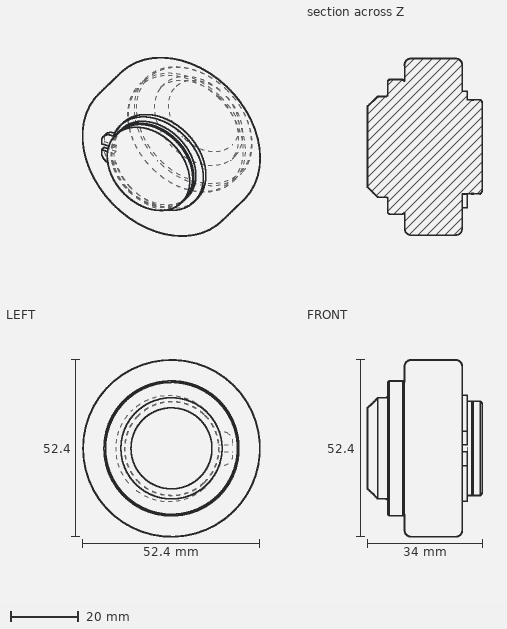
import cadquery as cq
import math

cone_end = 3.1
flange_start = 6.0
roller_start = 10.95
roller_end = 28.1
ring_end = 29.6
groove_start = 30.85
groove_end = 31.3
total_length = 34.0

nose_tip_radius = 12.0
nose_radius = 30.0 / 2
flange_radius = 40.0 / 2
roller_radius = 52.4 / 2
shaft_radius = 28.0 / 2

nose_root_fillet = 0.45
flange_chamfer = 0.45
roller_fillet = 2.0
groove_depth = 0.15
shaft_rounding_length = 0.7
shaft_rounding_depth = 1.05
shaft_rounding_radius = 1.15

ring_radius = 15.7
ring_offset = 0.85
lug_tip = 18.05
lug_half_width = 5.1
lug_flat_half_width = 2.5
lug_shoulder = 14.8
lug_corner_radius = 3.35
ring_gap = 2.1

diagonal = math.sqrt(0.5)


def revolve_about_x(profile):
    return profile.close().revolve(360, (0, 0, 0), (1, 0, 0))


def make_nose():
    """Conical nose that flares into the flange through a small root fillet."""
    root_arc_mid = (
        flange_start - nose_root_fillet * (1 - diagonal),
        nose_radius + nose_root_fillet * (1 - diagonal),
    )
    profile = (
        cq.Workplane("XY")
        .lineTo(0, nose_tip_radius)
        .lineTo(cone_end, nose_radius)
        .lineTo(flange_start - nose_root_fillet, nose_radius)
        .threePointArc(root_arc_mid, (flange_start, nose_radius + nose_root_fillet))
        .lineTo(flange_start, 0)
    )
    return revolve_about_x(profile)


def make_disc(start, end, radius):
    return cq.Workplane("YZ", origin=(start, 0, 0)).circle(radius).extrude(end - start)


def make_shaft():
    """Shaft end with a shallow groove and a rounded rim."""
    rim_start = total_length - shaft_rounding_length
    groove_radius = shaft_radius - groove_depth
    profile = (
        cq.Workplane("XY")
        .moveTo(roller_end, 0)
        .lineTo(roller_end, shaft_radius)
        .lineTo(groove_start, shaft_radius)
        .lineTo(groove_start, groove_radius)
        .lineTo(groove_end, groove_radius)
        .lineTo(groove_end, shaft_radius)
        .lineTo(rim_start, shaft_radius)
        .radiusArc((total_length, shaft_radius - shaft_rounding_depth), shaft_rounding_radius)
        .lineTo(total_length, 0)
    )
    return revolve_about_x(profile)


def make_retaining_ring():
    """Eccentric ring with round-cornered lugs, split by a gap between them."""
    thickness = ring_end - roller_end
    face = cq.Workplane("YZ", origin=(roller_end, 0, 0))
    disc = face.center(ring_offset, 0).circle(ring_radius).extrude(thickness)
    lugs = (
        face.moveTo(0, lug_half_width)
        .lineTo(-lug_shoulder, lug_half_width)
        .radiusArc((-lug_tip, lug_flat_half_width), -lug_corner_radius)
        .lineTo(-lug_tip, -lug_flat_half_width)
        .radiusArc((-lug_shoulder, -lug_half_width), -lug_corner_radius)
        .lineTo(0, -lug_half_width)
        .close()
        .extrude(thickness)
    )
    gap = face.center(-lug_tip / 2, 0).rect(lug_tip, ring_gap).extrude(thickness)
    return disc.union(lugs).cut(gap)


flange = make_disc(flange_start, roller_start, flange_radius).edges().chamfer(flange_chamfer)
roller = make_disc(roller_start, roller_end, roller_radius).edges().fillet(roller_fillet)

result = make_nose().union(flange).union(roller).union(make_retaining_ring()).union(make_shaft())